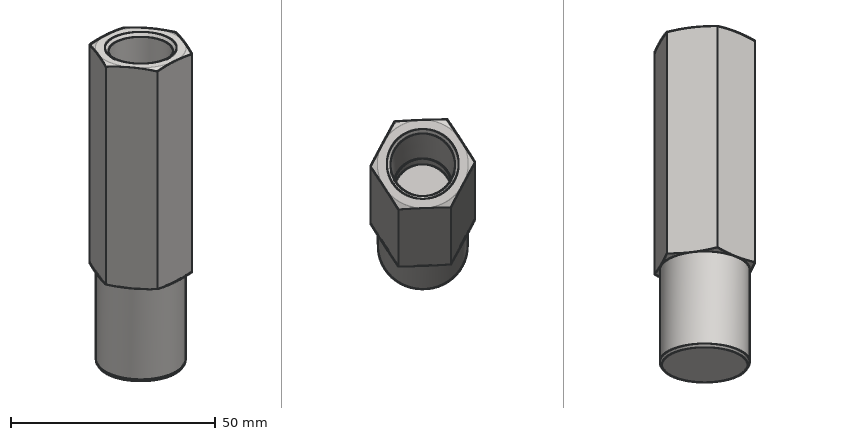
import cadquery as cq
import math

total_height = 85.85
hex_across_flats = 22.2
hex_across_corners = hex_across_flats / math.cos(math.radians(30))
shank_diameter = 22.1
shank_height = 25.5

hex_corner_bevel_angle = 15.0
shank_chamfer_width = 0.5
shank_chamfer_height = 0.8

mouth_diameter = 17.6
taper_top_diameter = 15.8
taper_bottom_diameter = 14.5
taper_depth = 24.2
pilot_diameter = 14.3
pilot_depth = 30.05


def revolve_profile(points):
    """Revolve a closed outline of (radius, height) points about the part axis."""
    return cq.Workplane("XZ").polyline(points).close().revolve(360, (0, 0, 0), (0, 1, 0))


def make_hex_body():
    """Hexagonal bar with flats facing +X and -X, its corners beveled at both ends."""
    bar = (
        cq.Workplane("XY", origin=(0, 0, shank_height))
        .transformed(rotate=(0, 0, 90))
        .polygon(6, hex_across_corners)
        .extrude(total_height - shank_height)
    )
    face_radius = hex_across_flats / 2
    corner_radius = hex_across_corners / 2
    bevel_height = (corner_radius - face_radius) * math.tan(math.radians(hex_corner_bevel_angle))
    beveled_cylinder = revolve_profile([
        (0, shank_height),
        (face_radius, shank_height),
        (corner_radius, shank_height + bevel_height),
        (corner_radius, total_height - bevel_height),
        (face_radius, total_height),
        (0, total_height),
    ])
    return bar.intersect(beveled_cylinder)


def make_shank():
    """Round shank below the hexagon, chamfered at its lower rim."""
    shank_radius = shank_diameter / 2
    return revolve_profile([
        (0, 0),
        (shank_radius - shank_chamfer_width, 0),
        (shank_radius, shank_chamfer_height),
        (shank_radius, shank_height),
        (0, shank_height),
    ])


def make_bore():
    """Solid to cut away: 45 degree mouth chamfer, tapered bore and flat-bottomed pilot hole."""
    mouth_radius = mouth_diameter / 2
    taper_top_radius = taper_top_diameter / 2
    pilot_radius = pilot_diameter / 2
    taper_top = total_height - (mouth_radius - taper_top_radius)
    taper_bottom = total_height - taper_depth
    pilot_bottom = total_height - pilot_depth
    return revolve_profile([
        (0, total_height),
        (mouth_radius, total_height),
        (taper_top_radius, taper_top),
        (taper_bottom_diameter / 2, taper_bottom),
        (pilot_radius, taper_bottom),
        (pilot_radius, pilot_bottom),
        (0, pilot_bottom),
    ])


result = make_hex_body().union(make_shank()).cut(make_bore())